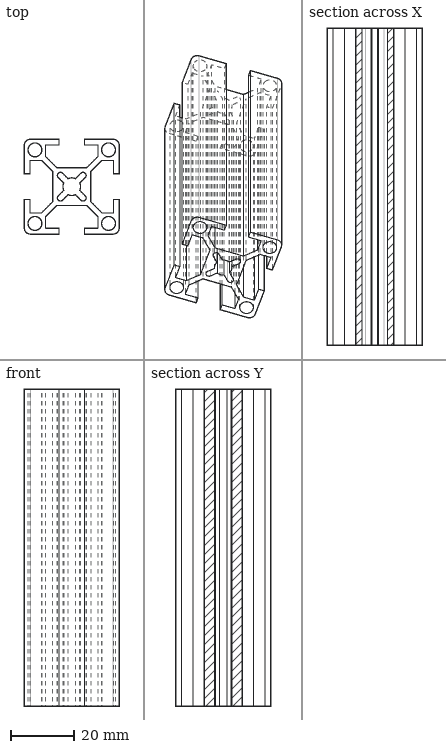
import cadquery as cq
import math

side = 30.0
length = 100.0
corner_radius = 2.0

slot_opening = 8.0
lip_thickness = 1.9
cavity_width = 16.5
core_width = 12.0
web_thickness = 1.8

corner_hole_diameter = 4.3
corner_hole_spacing = 23.2
core_bore_diameter = 5.5
relief_width = 1.9
relief_end_spacing = 7.1


def t_slot():
    """T-slot cutter on the +Y side, with sloping flanks that run along the webs."""
    outer = side / 2
    lip = outer - lip_thickness
    core = core_width / 2
    half_opening = slot_opening / 2
    half_cavity = cavity_width / 2
    web_offset = web_thickness / math.sqrt(2)
    right_half = [
        (core - web_offset, core),
        (half_cavity, half_cavity + web_offset),
        (half_cavity, lip),
        (half_opening, lip),
        (half_opening, outer),
    ]
    left_half = [(-x, y) for x, y in reversed(right_half)]
    return cq.Workplane("XY").polyline(right_half + left_half).close().extrude(length)


def core_opening():
    """Central bore crossed by two diagonal, round-ended reliefs."""
    opening = cq.Workplane("XY").circle(core_bore_diameter / 2).extrude(length)
    relief_length = relief_end_spacing * math.sqrt(2) + relief_width
    for angle in (45, 135):
        relief = cq.Workplane("XY").slot2D(relief_length, relief_width, angle).extrude(length)
        opening = opening.union(relief)
    return opening


def corner_holes():
    return (
        cq.Workplane("XY")
        .rect(corner_hole_spacing, corner_hole_spacing, forConstruction=True)
        .vertices()
        .circle(corner_hole_diameter / 2)
        .extrude(length)
    )


profile = cq.Workplane("XY").rect(side, side).extrude(length).edges("|Z").fillet(corner_radius)
for angle in (0, 90, 180, 270):
    profile = profile.cut(t_slot().rotate((0, 0, 0), (0, 0, 1), angle))

result = profile.cut(core_opening()).cut(corner_holes())